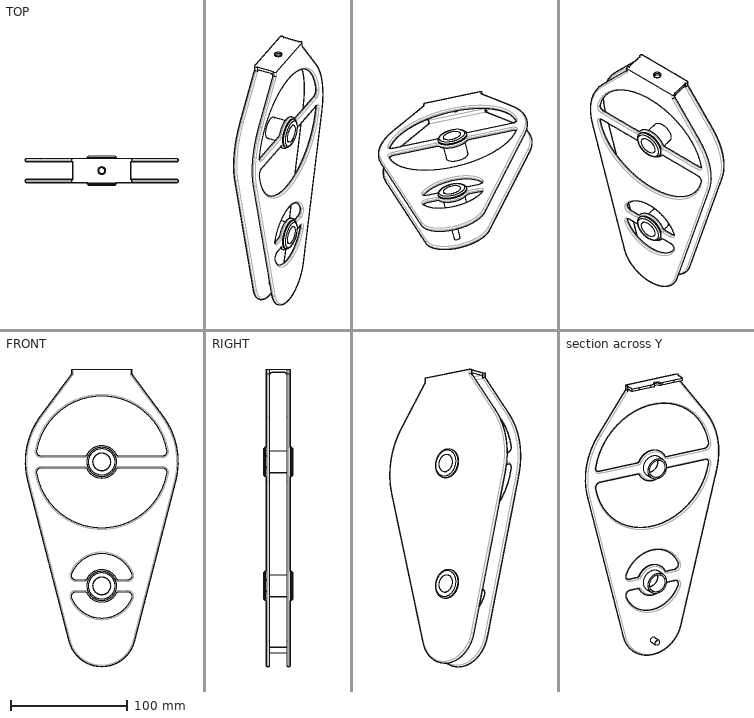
import cadquery as cq
import math

height = 256.2
outer_depth = 21.0
plate_thickness = 3.0
edge_round = 1.3
head_radius = 65.97
foot_radius = 29.2
tab_half_width = 26.0
tab_height = 3.8

upper_hub_z = 176.5
lower_hub_z = 69.7
hub_length = 25.4
barrel_diameter = 19.0
bore_diameter = 15.0
flange_diameter = 25.4
flange_chamfer = 1.3

upper_window_radius = 57.0
lower_window_radius = 28.0
rib_width = 10.2
hub_ring_radius = 14.0
window_corner_radius = 3.8
ring_corner_radius = 2.0

web_half_width = 25.0
web_thickness = 2.5
web_corner_radius = 2.3
web_hole_diameter = 5.0
web_hole_chamfer = 0.8
pin_diameter = 5.0
pin_z = 14.3

half_depth = outer_depth / 2
inner_half_depth = half_depth - plate_thickness


def along_y(y_start):
    """Sketch plane seen from -Y; positive extrusion runs toward -Y."""
    return cq.Workplane("XZ", origin=(0, y_start, 0))


def cylinder_y(diameter, z, y_start, length):
    return along_y(y_start).center(0, z).circle(diameter / 2).extrude(-length)


def polar(radius, angle, center_z):
    return radius * math.cos(angle), center_z + radius * math.sin(angle)


def plate_blank(y_start):
    """Head arc and foot arc joined by tangent flanks, with a narrow tab on top."""
    flank_angle = -math.asin((head_radius - foot_radius) / (upper_hub_z - foot_radius))
    shoulder_z = height - tab_height
    shoulder_rise = shoulder_z - upper_hub_z
    shoulder_distance = math.hypot(tab_half_width, shoulder_rise)
    shoulder_angle = (math.atan2(shoulder_rise, tab_half_width)
                      - math.acos(head_radius / shoulder_distance))
    head_x, head_z = polar(head_radius, shoulder_angle, upper_hub_z)
    flank_x, flank_z = polar(head_radius, flank_angle, upper_hub_z)
    foot_x, foot_z = polar(foot_radius, flank_angle, foot_radius)
    return (
        along_y(y_start)
        .moveTo(-tab_half_width, height)
        .lineTo(tab_half_width, height)
        .lineTo(tab_half_width, shoulder_z)
        .lineTo(head_x, head_z)
        .threePointArc((head_radius, upper_hub_z), (flank_x, flank_z))
        .lineTo(foot_x, foot_z)
        .threePointArc((0, 0), (-foot_x, foot_z))
        .lineTo(-flank_x, flank_z)
        .threePointArc((-head_radius, upper_hub_z), (-head_x, head_z))
        .lineTo(-tab_half_width, shoulder_z)
        .close()
        .extrude(-plate_thickness)
    )


def window_pair(radius, hub_z):
    """Half-round openings above and below a rib, cut back around the hub."""
    disc = cylinder_y(2 * radius, hub_z, -half_depth, plate_thickness)
    rib = along_y(-half_depth).center(0, hub_z).rect(2 * radius, rib_width).extrude(-plate_thickness)
    ring = cylinder_y(2 * hub_ring_radius, hub_z, -half_depth, plate_thickness)
    openings = disc.cut(rib).cut(ring)
    near_ring = cq.selectors.BoxSelector(
        (-hub_ring_radius, -outer_depth, hub_z - rib_width),
        (hub_ring_radius, outer_depth, hub_z + rib_width),
    )
    at_rib = cq.selectors.BoxSelector(
        (-radius, -outer_depth, hub_z - rib_width),
        (radius, outer_depth, hub_z + rib_width),
    )
    upright = cq.selectors.ParallelDirSelector(cq.Vector(0, 1, 0))
    outer_corners = (upright & at_rib) - near_ring
    openings = openings.edges(outer_corners).fillet(window_corner_radius)
    return openings.edges(upright & near_ring).fillet(ring_corner_radius)


def round_plate_edges(plate):
    """Round both face edges, leaving the top of the tab square."""
    below_top = cq.selectors.BoxSelector(
        (-head_radius, -outer_depth, -edge_round),
        (head_radius, outer_depth, height - tab_height / 4),
    )
    return plate.faces("<Y or >Y").edges(below_top).fillet(edge_round)


def hub_body(hub_z):
    barrel = cylinder_y(barrel_diameter, hub_z, -half_depth, outer_depth)
    flange_height = (hub_length - outer_depth) / 2
    front = cylinder_y(flange_diameter, hub_z, -hub_length / 2, flange_height)
    back = cylinder_y(flange_diameter, hub_z, half_depth, flange_height)
    front = front.faces("<Y").chamfer(flange_chamfer)
    back = back.faces(">Y").chamfer(flange_chamfer)
    return barrel.union(front).union(back)


def top_web():
    """Bridge between the plates with coved inner corners."""
    gap = 2 * inner_half_depth
    cove_height = web_thickness + web_corner_radius
    block = cq.Workplane("XY").box(2 * web_half_width, gap, cove_height, centered=(True, True, False))
    opening = (
        cq.Workplane("XY", origin=(0, 0, -cove_height))
        .box(2 * web_half_width, gap, cove_height + web_corner_radius, centered=(True, True, False))
        .edges("|X and >Z")
        .fillet(web_corner_radius)
    )
    return block.cut(opening).translate((0, 0, height - cove_height))


front_plate = plate_blank(-half_depth)
for window_radius, window_z in (
    (upper_window_radius, upper_hub_z),
    (lower_window_radius, lower_hub_z),
):
    front_plate = front_plate.cut(window_pair(window_radius, window_z))
front_plate = round_plate_edges(front_plate)
back_plate = round_plate_edges(plate_blank(inner_half_depth))

pin = cylinder_y(pin_diameter, pin_z, -inner_half_depth, 2 * inner_half_depth)
body = front_plate.union(back_plate).union(top_web()).union(pin)
for hub_z in (upper_hub_z, lower_hub_z):
    body = body.union(hub_body(hub_z))
for hub_z in (upper_hub_z, lower_hub_z):
    body = body.cut(cylinder_y(bore_diameter, hub_z, -hub_length / 2, hub_length))

web_hole = (
    cq.Workplane("XY", origin=(0, 0, height))
    .circle(web_hole_diameter / 2)
    .extrude(-web_thickness)
)
rim = cq.Workplane("XY", origin=(0, 0, height)).circle(web_hole_diameter / 2 + web_hole_chamfer)
rim_cone = rim.extrude(-web_hole_chamfer, taper=45)
result = body.cut(web_hole).cut(rim_cone)